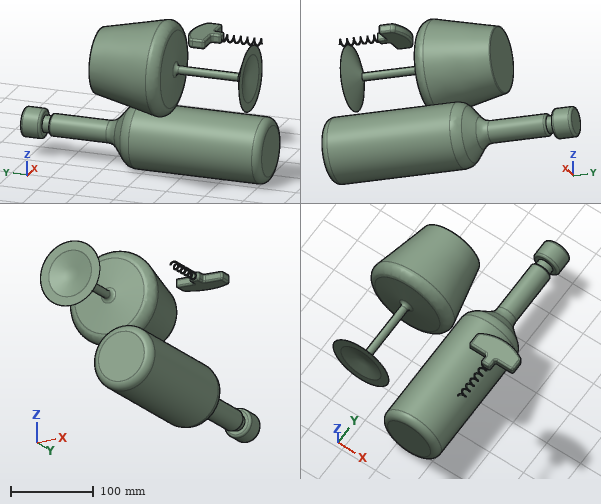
import cadquery as cq
import math


BODY_RADIUS = 41.5
BASE_FILLET = 9.5
SHOULDER_START_Y = 177.5
SHOULDER_END_Y = 200.7
SHOULDER_FILLET = 17.2
NECK_RADIUS = 14.0
NECK_TOP_Y = 283.5
LIP_FILLET = 2.5
PLUG_RADIUS = 10.8
CAP_RADIUS = 18.8
CAP_BOTTOM_Y = 292.5
CAP_TOP_Y = 318.5
CAP_FILLET = 3.2

GLASS_X = -71.5
GLASS_Z = 118.0
FOOT_RADIUS = 41.5
FOOT_HEIGHT = 14.3
STEM_RADIUS = 5.0
FOOT_RECESS_RADIUS = 29.5
FOOT_RECESS_DEPTH = 6.0
BOWL_BOTTOM_Y = 97.0
BOWL_CORNER_RADIUS = 62.8
BOWL_CORNER_Y = 100.5
BOWL_FILLET = 12.5
STEM_FILLET = 5.0
RIM_RADIUS = 41.5
RIM_Y = 195.0
RIM_FILLET = 1.3

SCREW_X = 55.8
SCREW_Z = GLASS_Z
HANDLE_WIDTH = 65.0
HANDLE_THICKNESS = 11.5
HANDLE_BOTTOM_Y = 94.5
HANDLE_TOP_Y = 123.3
HANDLE_ARC_RADIUS = 58.5
HANDLE_CORNER_FILLET = 6.0
STUB_WIDTH = 13.5
STUB_BOTTOM_Y = 82.5
STUB_FILLET = 2.2
EDGE_FILLET = 2.5
COIL_RADIUS = 4.0
WIRE_RADIUS = 0.73
COIL_TURNS = 6.5
COIL_START_Y = 87.5
COIL_TIP_Y = 30.3


def revolve_about_y(profile):
    """Revolve a closed XY half profile about the Y axis."""
    return profile.close().revolve(360, (0, 0, 0), (0, 1, 0))


def ring_edge(y, radius):
    """Selector for the circular edge of that radius, centred on the Y axis at height y."""
    tolerance = 0.03
    low = (-radius - tolerance, y - tolerance, -radius - tolerance)
    high = (radius + tolerance, y + tolerance, radius + tolerance)
    inner = radius - tolerance
    inside = cq.selectors.BoxSelector(
        (-inner, y - tolerance, -inner), (inner, y + tolerance, inner), boundingbox=True
    )
    return cq.selectors.BoxSelector(low, high, boundingbox=True) - inside


def make_bottle():
    profile = (
        cq.Workplane("XY")
        .lineTo(BODY_RADIUS, 0)
        .lineTo(BODY_RADIUS, SHOULDER_START_Y)
        .lineTo(NECK_RADIUS, SHOULDER_END_Y)
        .lineTo(NECK_RADIUS, NECK_TOP_Y)
        .lineTo(PLUG_RADIUS, NECK_TOP_Y)
        .lineTo(PLUG_RADIUS, CAP_BOTTOM_Y)
        .lineTo(CAP_RADIUS, CAP_BOTTOM_Y)
        .lineTo(CAP_RADIUS, CAP_TOP_Y)
        .lineTo(0, CAP_TOP_Y)
    )
    return (
        revolve_about_y(profile)
        .edges(ring_edge(0, BODY_RADIUS)).fillet(BASE_FILLET)
        .edges(ring_edge(SHOULDER_START_Y, BODY_RADIUS)).fillet(SHOULDER_FILLET)
        .edges(ring_edge(SHOULDER_END_Y, NECK_RADIUS)).fillet(SHOULDER_FILLET)
        .edges(ring_edge(NECK_TOP_Y, NECK_RADIUS)).fillet(LIP_FILLET)
        .edges(ring_edge(CAP_BOTTOM_Y, CAP_RADIUS)).fillet(CAP_FILLET)
        .edges(ring_edge(CAP_TOP_Y, CAP_RADIUS)).fillet(CAP_FILLET)
    )


def make_glass():
    profile = (
        cq.Workplane("XY")
        .moveTo(0, FOOT_RECESS_DEPTH)
        .lineTo(FOOT_RECESS_RADIUS, 0)
        .lineTo(FOOT_RADIUS, 0)
        .lineTo(STEM_RADIUS, FOOT_HEIGHT)
        .lineTo(STEM_RADIUS, BOWL_BOTTOM_Y)
        .lineTo(BOWL_CORNER_RADIUS, BOWL_CORNER_Y)
        .lineTo(RIM_RADIUS, RIM_Y)
        .lineTo(0, RIM_Y)
    )
    return (
        revolve_about_y(profile)
        .edges(ring_edge(BOWL_BOTTOM_Y, STEM_RADIUS)).fillet(STEM_FILLET)
        .edges(ring_edge(BOWL_CORNER_Y, BOWL_CORNER_RADIUS)).fillet(BOWL_FILLET)
        .edges(ring_edge(RIM_Y, RIM_RADIUS)).fillet(RIM_FILLET)
        .translate((GLASS_X, 0, GLASS_Z))
    )


def make_handle():
    half_width = HANDLE_WIDTH / 2
    half_stub = STUB_WIDTH / 2
    arc_drop = HANDLE_ARC_RADIUS - math.sqrt(HANDLE_ARC_RADIUS**2 - half_width**2)
    arc_end_y = HANDLE_TOP_Y - arc_drop
    blank = (
        cq.Workplane("XY")
        .moveTo(-half_stub, STUB_BOTTOM_Y)
        .lineTo(half_stub, STUB_BOTTOM_Y)
        .lineTo(half_stub, HANDLE_BOTTOM_Y)
        .lineTo(half_width, HANDLE_BOTTOM_Y)
        .lineTo(half_width, arc_end_y)
        .threePointArc((0, HANDLE_TOP_Y), (-half_width, arc_end_y))
        .lineTo(-half_width, HANDLE_BOTTOM_Y)
        .lineTo(-half_stub, HANDLE_BOTTOM_Y)
        .close()
        .extrude(HANDLE_THICKNESS / 2, both=True)
    )

    def upright_edges(half_spread, y):
        """Selector for the two edges along Z at X = +-half_spread and the given Y."""
        points = [(x, y, 0) for x in (-half_spread, half_spread)]
        left, right = (cq.selectors.NearestToPointSelector(point) for point in points)
        return left + right

    return (
        blank
        .edges(upright_edges(half_width, arc_end_y)).fillet(HANDLE_CORNER_FILLET)
        .edges(upright_edges(half_stub, HANDLE_BOTTOM_Y)).fillet(STUB_FILLET)
        .edges(upright_edges(half_width, HANDLE_BOTTOM_Y)).fillet(EDGE_FILLET)
        .edges(upright_edges(half_stub, STUB_BOTTOM_Y)).fillet(EDGE_FILLET)
        .faces("<Z or >Z").edges().fillet(EDGE_FILLET)
    )


def make_coil():
    length = COIL_START_Y - COIL_TIP_Y
    helix = cq.Wire.makeHelix(length / COIL_TURNS, length, COIL_RADIUS)
    wire = (
        cq.Workplane("XZ")
        .center(COIL_RADIUS, 0)
        .circle(WIRE_RADIUS)
        .sweep(cq.Workplane(obj=helix), isFrenet=True)
    )
    return wire.rotate((0, 0, 0), (1, 0, 0), 90).translate((0, COIL_START_Y, 0))


def make_corkscrew():
    return make_handle().union(make_coil()).translate((SCREW_X, 0, SCREW_Z))


bottle = make_bottle()
glass = make_glass()
corkscrew = make_corkscrew()

result = cq.Compound.makeCompound([bottle.val(), glass.val(), corkscrew.val()])